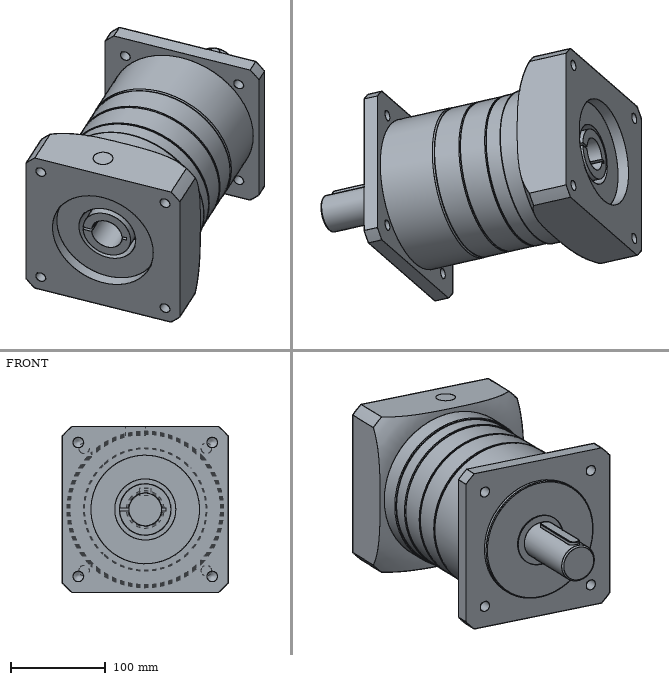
import cadquery as cq
import math


SQUARE_SIDE = 175.0
CORNER_FLAT = 155.0
CORNER_RADIUS = math.hypot(SQUARE_SIDE, CORNER_FLAT) / 2
MOTOR_BOLT_OFFSET = 70.5
FLANGE_BOLT_OFFSET = 64.5
BOLT_RADIUS = 5.5

BLOCK_CORNER_END = 43.5
BLOCK_END = 58.3
COLLAR_END = 81.5
INPUT_HOUSING_END = 99.0
RING_LENGTH = 30.5
RING_COUNT = 2
BARREL_START = INPUT_HOUSING_END + RING_COUNT * RING_LENGTH
FLANGE_START = 223.3
FLANGE_END = 239.2
BOSS_END = 243.8
SEAL_END = 245.0
SHAFT_END = 325.5

COLLAR_RADIUS = 82.7
BARREL_RADIUS = 81.0
RING_RADIUS = 80.7
BOSS_RADIUS = 65.0
SEAL_RADIUS = 27.5
SHAFT_RADIUS = 20.0
BARREL_CHAMFER = 1.5
RING_CHAMFER = 1.0
BOSS_CHAMFER = 1.0
SHAFT_CHAMFER = 1.5

PILOT_RADIUS = 57.3
PILOT_DEPTH = 12.5
CLAMP_GAP_RADIUS = 32.2
CLAMP_HUB_RADIUS = 27.0
CLAMP_GAP_DEPTH = 32.5
CLAMP_HUB_START = 11.0
BORE_RADIUS = 17.3
BORE_DEPTH = 52.0
SLOT_WIDTH = 3.0
SLOT_DEPTH = 26.0
SLOT_REACH = 22.0
BOLT_DEPTH = 22.8
DRILL_TIP_DEPTH = 3.3

PLUG_X = -10.5
PLUG_Y = 26.5
PLUG_RADIUS = 10.5
PLUG_DEPTH = 9.8

KEY_WIDTH = 12.0
KEY_HEIGHT = 7.8
KEY_PROTRUSION = 3.0
KEY_LENGTH = 70.0
KEY_END = 320.5
KEY_CHAMFER = 0.5


def turned(radius, start, end):
    """Cylinder on the gearbox axis between two positions."""
    return cq.Workplane("XZ", origin=(0, start, 0)).circle(radius).extrude(start - end)


def square_plate(start, end):
    """Square plate whose corners are rounded about the gearbox axis."""
    length = end - start
    plate = cq.Workplane("XY").box(SQUARE_SIDE, length, SQUARE_SIDE).translate((0, start + length / 2, 0))
    return plate.intersect(turned(CORNER_RADIUS, start, end))


def bolt_points(offset):
    return [(x, z) for x in (-offset, offset) for z in (-offset, offset)]


def make_key_blank():
    """Round-ended bar along the shaft, also the shape of its seat."""
    middle_y = KEY_END - KEY_LENGTH / 2
    bottom_z = SHAFT_RADIUS + KEY_PROTRUSION - KEY_HEIGHT
    outline = cq.Workplane("XY", origin=(0, middle_y, bottom_z)).slot2D(KEY_LENGTH, KEY_WIDTH, 90)
    return outline.extrude(KEY_HEIGHT)


def make_key():
    return make_key_blank().faces(">Z").chamfer(KEY_CHAMFER)


def make_output_unit():
    """Barrel, mounting flange, centring boss and output shaft."""
    barrel = turned(BARREL_RADIUS, BARREL_START, FLANGE_START).faces("<Y").chamfer(BARREL_CHAMFER)
    flange = square_plate(FLANGE_START, FLANGE_END)
    for x, z in bolt_points(FLANGE_BOLT_OFFSET):
        flange = flange.cut(turned(BOLT_RADIUS, FLANGE_START, FLANGE_END).translate((x, 0, z)))
    boss = turned(BOSS_RADIUS, FLANGE_END, BOSS_END).faces(">Y").chamfer(BOSS_CHAMFER)
    seal = turned(SEAL_RADIUS, BOSS_END, SEAL_END)
    shaft = turned(SHAFT_RADIUS, SEAL_END, SHAFT_END).faces(">Y").chamfer(SHAFT_CHAMFER)
    return barrel.union(flange).union(boss).union(seal).union(shaft).cut(make_key_blank())


def make_ring_gear(index):
    start = INPUT_HOUSING_END + index * RING_LENGTH
    ring = turned(RING_RADIUS, start, start + RING_LENGTH)
    return ring.faces("<Y or >Y").chamfer(RING_CHAMFER)


def make_shoulder_envelope():
    """Turned envelope whose convex shoulder rises from the corner faces to the collar."""
    rise = BLOCK_END - BLOCK_CORNER_END
    run = CORNER_RADIUS - COLLAR_RADIUS
    shoulder_radius = (run**2 + rise**2) / (2 * rise)
    half_angle = math.asin(run / shoulder_radius) / 2
    middle = (
        COLLAR_RADIUS + shoulder_radius * math.sin(half_angle),
        BLOCK_END - shoulder_radius * (1 - math.cos(half_angle)),
    )
    profile = (
        cq.Workplane("XY")
        .lineTo(CORNER_RADIUS, 0)
        .lineTo(CORNER_RADIUS, BLOCK_CORNER_END)
        .threePointArc(middle, (COLLAR_RADIUS, BLOCK_END))
        .lineTo(0, BLOCK_END)
        .close()
    )
    return profile.revolve(360, (0, 0, 0), (0, 1, 0))


def make_bolt_hole():
    """Blind drilled hole with a conical end, along the gearbox axis."""
    profile = [(0, 0), (BOLT_RADIUS, 0), (BOLT_RADIUS, BOLT_DEPTH), (0, BOLT_DEPTH + DRILL_TIP_DEPTH)]
    return cq.Workplane("XY").polyline(profile).close().revolve(360, (0, 0, 0), (0, 1, 0))


def make_clamp_slot():
    """Slot across the clamp hub: through its -X wall, blind in its +X wall."""
    length = CLAMP_HUB_RADIUS + SLOT_REACH
    slot = cq.Workplane("XY").box(length, SLOT_DEPTH, SLOT_WIDTH)
    return slot.translate((SLOT_REACH - length / 2, CLAMP_HUB_START + SLOT_DEPTH / 2, 0))


def make_plug():
    plug = cq.Workplane("XY", origin=(PLUG_X, PLUG_Y, SQUARE_SIDE / 2))
    return plug.circle(PLUG_RADIUS).extrude(-PLUG_DEPTH)


def make_input_housing():
    """Motor block with its clamp hub, collar and spigot toward the ring gears."""
    block = square_plate(0, BLOCK_END).intersect(make_shoulder_envelope())
    collar = turned(COLLAR_RADIUS, BLOCK_END, COLLAR_END).faces(">Y").chamfer(RING_CHAMFER)
    spigot = turned(BARREL_RADIUS, COLLAR_END, INPUT_HOUSING_END).faces(">Y").chamfer(RING_CHAMFER)
    housing = block.union(collar).union(spigot)

    clamp_end = PILOT_DEPTH + CLAMP_GAP_DEPTH
    recess = turned(PILOT_RADIUS, 0, PILOT_DEPTH).union(turned(CLAMP_GAP_RADIUS, PILOT_DEPTH, clamp_end))
    recess = recess.cut(turned(CLAMP_HUB_RADIUS, CLAMP_HUB_START, clamp_end))
    bore = turned(BORE_RADIUS, CLAMP_HUB_START, CLAMP_HUB_START + BORE_DEPTH)
    housing = housing.cut(recess).cut(bore).cut(make_clamp_slot())
    for x, z in bolt_points(MOTOR_BOLT_OFFSET):
        housing = housing.cut(make_bolt_hole().translate((x, 0, z)))
    return housing.cut(make_plug())


output_unit = make_output_unit()
key = make_key()
ring_gears = [make_ring_gear(index) for index in range(RING_COUNT)]
input_housing = make_input_housing()
plug = make_plug()

result = cq.Compound.makeCompound(
    [output_unit.val(), key.val(), *[ring.val() for ring in ring_gears], input_housing.val(), plug.val()]
)